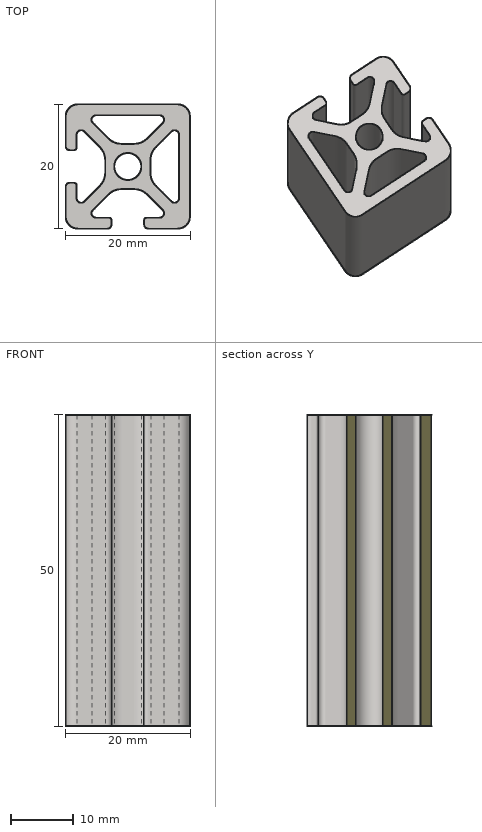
import cadquery as cq

side = 20.0
length = 50.0
outer_corner_radius = 2.0
wall = 1.8
bore_diameter = 4.3

core_half_width = 3.65
web_offset = 1.4
core_blend_radius = 3.0
cavity_corner_radius = 0.7

slot_width = 5.2
lip_outer_radius = 0.7
lip_inner_radius = 0.45

half_side = side / 2
cavity_outer = half_side - wall


def make_cavity():
    """Trapezoidal cavity on the -Y side of the core."""
    inner_half_width = core_half_width - web_offset
    outer_half_width = cavity_outer - web_offset
    cavity = (
        cq.Workplane("XY")
        .polyline([
            (-inner_half_width, -core_half_width),
            (inner_half_width, -core_half_width),
            (outer_half_width, -cavity_outer),
            (-outer_half_width, -cavity_outer),
        ])
        .close()
        .extrude(length)
    )
    cavity = cavity.edges("|Z and >Y").fillet(core_blend_radius)
    return cavity.edges("|Z and <Y").fillet(cavity_corner_radius)


def make_opening():
    """Slot mouth through the -Y wall, flared by the rounded lips."""
    half_width = slot_width / 2
    outer_half_width = half_width + lip_outer_radius
    inner_half_width = half_width + lip_inner_radius
    inner_round_start = -cavity_outer - lip_inner_radius
    outer_round_end = -half_side + lip_outer_radius
    return (
        cq.Workplane("XY")
        .moveTo(-outer_half_width, -half_side)
        .radiusArc((-half_width, outer_round_end), -lip_outer_radius)
        .lineTo(-half_width, inner_round_start)
        .radiusArc((-inner_half_width, -cavity_outer), -lip_inner_radius)
        .lineTo(inner_half_width, -cavity_outer)
        .radiusArc((half_width, inner_round_start), -lip_inner_radius)
        .lineTo(half_width, outer_round_end)
        .radiusArc((outer_half_width, -half_side), -lip_outer_radius)
        .close()
        .extrude(length)
    )


def turn(shape, angle):
    """Rotate a shape about the profile axis."""
    return shape.rotate((0, 0, 0), (0, 0, 1), angle)


result = cq.Workplane("XY").rect(side, side).extrude(length)
result = result.edges("|Z").fillet(outer_corner_radius)
result = result.faces(">Z").workplane().hole(bore_diameter)

cavity = make_cavity()
for angle in (0, 90, 180, 270):
    result = result.cut(turn(cavity, angle))

opening = make_opening()
for angle in (0, -90):
    result = result.cut(turn(opening, angle))